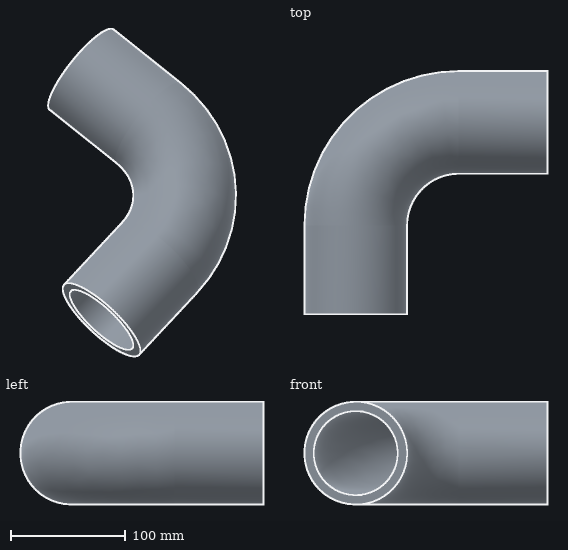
import cadquery as cq
import math

overall_length = 213.0
outer_diameter = 90.0
wall_thickness = 8.3

bend_radius = outer_diameter
outer_radius = outer_diameter / 2
bore_radius = outer_radius - wall_thickness
straight_length = overall_length - outer_radius - bend_radius


def elbow_centreline():
    """Straight leg along +Y, quarter bend, then straight leg along +X."""
    bend_offset = bend_radius * (1 - math.sqrt(0.5))
    bend_middle = (bend_offset, straight_length + bend_radius - bend_offset)
    bend_end = (bend_radius, straight_length + bend_radius)
    return (
        cq.Workplane("XY")
        .lineTo(0, straight_length)
        .threePointArc(bend_middle, bend_end)
        .lineTo(bend_radius + straight_length, straight_length + bend_radius)
    )


result = (
    cq.Workplane("XZ")
    .circle(outer_radius)
    .circle(bore_radius)
    .sweep(elbow_centreline())
)